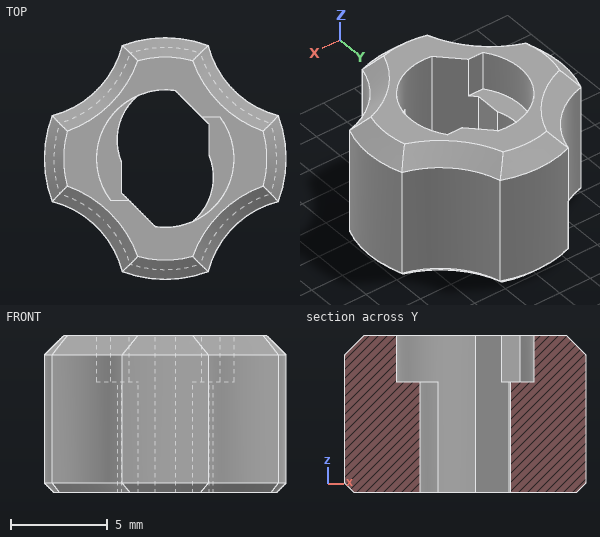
import cadquery as cq
import math

height = 8.125
body_radius = 6.25
scallop_radius = 5.0
scallop_distance = 10.0
scallop_count = 4
scallop_angle = 45
top_chamfer = 1.0
bottom_chamfer = 0.5

bore_radius = 3.55
pocket_depth = 2.4
flat_distance = 2.85
stop_distance = 2.16
wall_distance = 2.25
cam_radius = 3.0
cam_center_x = -0.52
cam_center_y = -0.96

flat_sum = flat_distance * math.sqrt(2)


def polar(radius, angle, center=(0.0, 0.0)):
    """Point at an angle on a circle."""
    return center[0] + radius * math.cos(angle), center[1] + radius * math.sin(angle)


def opposite(point):
    """Point turned half a revolution about the Z axis."""
    return -point[0], -point[1]


def arc_middle(start, end, radius, center=(0.0, 0.0)):
    """Middle of the clockwise arc from start to end."""
    start_angle = math.atan2(start[1] - center[1], start[0] - center[0])
    end_angle = math.atan2(end[1] - center[1], end[0] - center[0])
    sweep = (start_angle - end_angle) % (2 * math.pi)
    return polar(radius, start_angle - sweep / 2, center)


def flat_start():
    """Point where the upper right flat leaves the bore circle."""
    angle = math.pi / 4 + math.acos(flat_distance / bore_radius)
    return polar(bore_radius, angle)


def cam_end():
    """Point where the right-hand cam arc runs into the bore circle."""
    center_distance = math.hypot(cam_center_x, cam_center_y)
    along = (bore_radius**2 + center_distance**2 - cam_radius**2) / (2 * center_distance)
    angle = math.atan2(cam_center_y, cam_center_x) + math.acos(along / bore_radius)
    return polar(bore_radius, angle)


def make_body():
    body = cq.Workplane("XY").circle(body_radius).extrude(height)
    scallops = (
        cq.Workplane("XY")
        .polarArray(scallop_distance, scallop_angle, 360, scallop_count)
        .circle(scallop_radius)
        .extrude(height)
    )
    body = body.cut(scallops)
    body = body.faces(">Z").chamfer(top_chamfer)
    return body.faces("<Z").chamfer(bottom_chamfer)


def make_opening():
    """Keyed through opening: flat, straight wall, cam arc and bore arc, twice around."""
    start = flat_start()
    wall_top = (wall_distance, flat_sum - wall_distance)
    cam_rise = math.sqrt(cam_radius**2 - (wall_distance - cam_center_x) ** 2)
    wall_bottom = (wall_distance, cam_center_y + cam_rise)
    cam_middle = arc_middle(wall_bottom, cam_end(), cam_radius, (cam_center_x, cam_center_y))
    bore_middle = arc_middle(cam_end(), opposite(start), bore_radius)

    outline = cq.Workplane("XY").moveTo(*start)
    for turn in (tuple, opposite):
        outline = (
            outline.lineTo(*turn(wall_top))
            .lineTo(*turn(wall_bottom))
            .threePointArc(turn(cam_middle), turn(cam_end()))
            .threePointArc(turn(bore_middle), turn(opposite(start)))
        )
    return outline.close().extrude(height)


def make_pocket():
    """Top pocket: flat, stop face and bore arc, twice around."""
    start = flat_start()
    stop_inner = (flat_sum - stop_distance, stop_distance)
    stop_outer = (math.sqrt(bore_radius**2 - stop_distance**2), stop_distance)
    bore_middle = arc_middle(stop_outer, opposite(start), bore_radius)

    outline = cq.Workplane("XY").workplane(offset=height - pocket_depth).moveTo(*start)
    for turn in (tuple, opposite):
        outline = (
            outline.lineTo(*turn(stop_inner))
            .lineTo(*turn(stop_outer))
            .threePointArc(turn(bore_middle), turn(opposite(start)))
        )
    return outline.close().extrude(pocket_depth)


result = make_body().cut(make_opening()).cut(make_pocket())